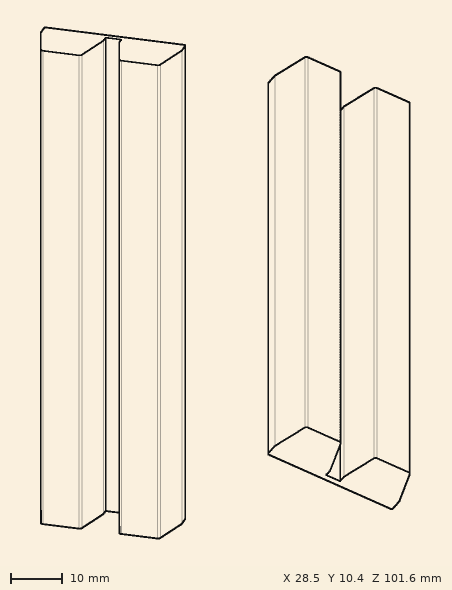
import cadquery as cq

length = 101.6
total_width = 28.5
total_depth = 10.4

groove_width = 3.1
web_thickness = 1.2
shoulder_depth = 2.6
taper_run = 2.3
tip_radius = 0.5
back_radius = 0.3

rib_width = (total_width - groove_width) / 2
rib_center = (groove_width + rib_width) / 2
back_y = total_depth / 2
tip_y = -total_depth / 2
shoulder_y = back_y - shoulder_depth


def make_rib(center_x):
    """Tapered rib with rounded tip edges, standing along Z."""
    half_base = rib_width / 2
    half_tip = half_base - taper_run
    outline = [
        (center_x - half_base, back_y),
        (center_x - half_base, shoulder_y),
        (center_x - half_tip, tip_y),
        (center_x + half_tip, tip_y),
        (center_x + half_base, shoulder_y),
        (center_x + half_base, back_y),
    ]
    rib = cq.Workplane("XY").polyline(outline).close().extrude(length)
    return rib.faces("<Y").edges("|Z").fillet(tip_radius)


def make_web():
    """Thin back plate spanning the full width and joining the ribs."""
    return cq.Workplane("XY").box(
        total_width, web_thickness, length, centered=(True, False, False)
    ).translate((0, back_y - web_thickness, 0))


body = make_web()
for side in (-1, 1):
    body = body.union(make_rib(side * rib_center))

result = body.clean().faces(">Y").edges("|Z").fillet(back_radius)